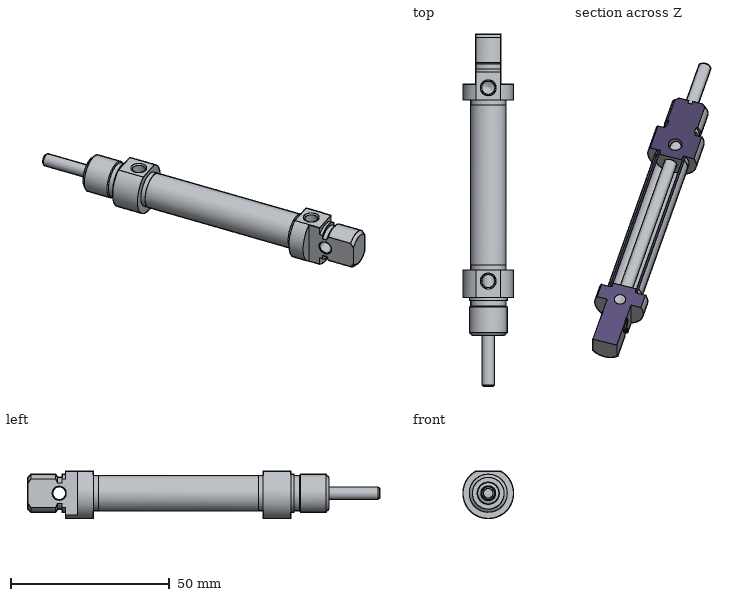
import cadquery as cq


ROD_DIAMETER = 4.0
ROD_TIP_DIAMETER = 3.0
ROD_REACH = 16.0

CAP_DIAMETER = 16.0
CAP_TOP_FLAT = 7.0
NECK_DIAMETER = 12.0
NECK_CHAMFER = 1.0
COLLAR_LENGTH = 1.0

FRONT_THREAD_END = 9.3
FRONT_FLANGE_START = 12.0
FRONT_FLANGE_END = 20.75
FRONT_UNDERCUT_DIAMETER = 11.2
FRONT_RUNOUT_LENGTH = 0.3
FRONT_PORT_Y = 17.2

WIPER_MOUTH_DIAMETER = 7.0
WIPER_SEAT_DIAMETER = 6.7
WIPER_LIP_DIAMETER = 4.7
WIPER_LIP_START = 0.5
WIPER_SEAT_DEPTH = 1.0

TUBE_DIAMETER = 11.27
TUBE_END_DIAMETER = 11.2
TUBE_BORE = 10.0
TUBE_END_LENGTH = 1.5
TUBE_END_Y = 74.25

REAR_FLANGE_END = 83.1
EYE_WIDTH = 8.0
EYE_FLAT_START = 79.25
EYE_END = 95.0
EYE_HOLE_DIAMETER = 4.0
EYE_HOLE_MOUTH_DIAMETER = 4.43
EYE_HOLE_Y = 85.05
REAR_UNDERCUT_DIAMETER = 10.2
REAR_UNDERCUT_START = REAR_FLANGE_END + COLLAR_LENGTH
REAR_UNDERCUT_END = 86.15
REAR_RUNOUT_LENGTH = 0.6
REAR_PORT_Y = 78.1

PORT_DIAMETER = 4.13
PORT_MOUTH_DIAMETER = 5.0
PORT_DRILL_DEPTH = 3.5
DRILL_TIP_LENGTH = 1.2

SPIGOT_LENGTH = TUBE_END_LENGTH


def revolved(profile):
    """Turn an outline of (diameter, y) points about the Y axis."""
    points = [(diameter / 2, y) for diameter, y in profile]
    return cq.Workplane("XY").polyline(points).close().revolve(360, (0, 0, 0), (0, 1, 0))


def cylinder(diameter, y_start, y_end):
    """Solid round bar along the Y axis."""
    return revolved([(0, y_start), (diameter, y_start), (diameter, y_end), (0, y_end)])


def flange(y_start, y_end):
    """Round flange with a flat on top for the air port."""
    length = y_end - y_start
    above_flat = cq.Workplane("XY").box(CAP_DIAMETER, length, CAP_DIAMETER, centered=(True, False, False))
    above_flat = above_flat.translate((0, y_start, CAP_TOP_FLAT))
    return cylinder(CAP_DIAMETER, y_start, y_end).cut(above_flat)


def port_cutter(y, depth, tip_length):
    """Vertical drill with a 45 degree countersink and a pointed end, cut down from the top flat."""
    radius = PORT_DIAMETER / 2
    mouth_radius = PORT_MOUTH_DIAMETER / 2
    bottom = CAP_TOP_FLAT - depth
    outline = [
        (0, CAP_TOP_FLAT),
        (mouth_radius, CAP_TOP_FLAT),
        (radius, CAP_TOP_FLAT - (mouth_radius - radius)),
        (radius, bottom),
        (0, bottom - tip_length),
    ]
    drill = cq.Workplane("XZ").polyline(outline).close().revolve(360, (0, 0, 0), (0, 1, 0))
    return drill.translate((0, y, 0))


def eye_hole_cutter():
    """Crosswise pin hole through the eye, with a 45 degree chamfer at each mouth."""
    radius = EYE_HOLE_DIAMETER / 2
    mouth_radius = EYE_HOLE_MOUTH_DIAMETER / 2
    face_x = EYE_WIDTH / 2
    chamfer_x = face_x - (mouth_radius - radius)
    outline = [
        (-face_x, 0),
        (-face_x, mouth_radius),
        (-chamfer_x, radius),
        (chamfer_x, radius),
        (face_x, mouth_radius),
        (face_x, 0),
    ]
    pin_hole = cq.Workplane("XY").polyline(outline).close().revolve(360, (0, 0, 0), (1, 0, 0))
    return pin_hole.translate((0, EYE_HOLE_Y, 0))


def make_rod():
    """Straight rod with a chamfered tip; it runs back to the spigot of the rear cap."""
    tip_length = (ROD_DIAMETER - ROD_TIP_DIAMETER) / 2
    return revolved([
        (0, -ROD_REACH),
        (ROD_TIP_DIAMETER, -ROD_REACH),
        (ROD_DIAMETER, -ROD_REACH + tip_length),
        (ROD_DIAMETER, TUBE_END_Y - SPIGOT_LENGTH),
        (0, TUBE_END_Y - SPIGOT_LENGTH),
    ])


def make_front_cap():
    """Cap with the rod bearing, a stepped nose with a wiper lip, and an air port down to the rod."""
    nose = revolved([
        (0, 0),
        (NECK_DIAMETER - 2 * NECK_CHAMFER, 0),
        (NECK_DIAMETER, NECK_CHAMFER),
        (NECK_DIAMETER, FRONT_THREAD_END - FRONT_RUNOUT_LENGTH),
        (FRONT_UNDERCUT_DIAMETER, FRONT_THREAD_END),
        (FRONT_UNDERCUT_DIAMETER, FRONT_FLANGE_START - COLLAR_LENGTH),
        (NECK_DIAMETER, FRONT_FLANGE_START - COLLAR_LENGTH),
        (NECK_DIAMETER, FRONT_FLANGE_START),
        (0, FRONT_FLANGE_START),
    ])
    spigot = cylinder(TUBE_BORE, FRONT_FLANGE_END, FRONT_FLANGE_END + SPIGOT_LENGTH)
    bore = cylinder(ROD_DIAMETER, 0, FRONT_FLANGE_END + SPIGOT_LENGTH)
    mouth_chamfer = (WIPER_MOUTH_DIAMETER - WIPER_SEAT_DIAMETER) / 2
    wiper_seat = revolved([
        (0, 0),
        (WIPER_MOUTH_DIAMETER, 0),
        (WIPER_SEAT_DIAMETER, mouth_chamfer),
        (WIPER_SEAT_DIAMETER, WIPER_SEAT_DEPTH),
        (WIPER_LIP_DIAMETER, WIPER_LIP_START),
        (ROD_DIAMETER, WIPER_SEAT_DEPTH),
        (0, WIPER_SEAT_DEPTH),
    ])
    body = nose.union(flange(FRONT_FLANGE_START, FRONT_FLANGE_END)).union(spigot)
    return body.cut(bore).cut(wiper_seat).cut(port_cutter(FRONT_PORT_Y, CAP_TOP_FLAT, 0))


def make_tube():
    """Hollow barrel between the cap flanges, slightly narrower at both ends."""
    return revolved([
        (TUBE_BORE, FRONT_FLANGE_END),
        (TUBE_END_DIAMETER, FRONT_FLANGE_END),
        (TUBE_END_DIAMETER, FRONT_FLANGE_END + TUBE_END_LENGTH),
        (TUBE_DIAMETER, FRONT_FLANGE_END + TUBE_END_LENGTH),
        (TUBE_DIAMETER, TUBE_END_Y - TUBE_END_LENGTH),
        (TUBE_END_DIAMETER, TUBE_END_Y - TUBE_END_LENGTH),
        (TUBE_END_DIAMETER, TUBE_END_Y),
        (TUBE_BORE, TUBE_END_Y),
    ])


def make_rear_cap():
    """Cap whose neck is flattened on both sides into a mounting eye, with a blind air port."""
    neck = revolved([
        (0, REAR_FLANGE_END),
        (NECK_DIAMETER, REAR_FLANGE_END),
        (NECK_DIAMETER, REAR_UNDERCUT_START),
        (REAR_UNDERCUT_DIAMETER, REAR_UNDERCUT_START),
        (REAR_UNDERCUT_DIAMETER, REAR_UNDERCUT_END - REAR_RUNOUT_LENGTH),
        (NECK_DIAMETER, REAR_UNDERCUT_END),
        (NECK_DIAMETER, EYE_END - NECK_CHAMFER),
        (NECK_DIAMETER - 2 * NECK_CHAMFER, EYE_END),
        (0, EYE_END),
    ])
    spigot = cylinder(TUBE_BORE, TUBE_END_Y - SPIGOT_LENGTH, TUBE_END_Y)
    body = neck.union(flange(TUBE_END_Y, REAR_FLANGE_END)).union(spigot)
    flat_length = EYE_END - EYE_FLAT_START
    side_block = cq.Workplane("XY").box(CAP_DIAMETER, flat_length, CAP_DIAMETER, centered=(True, False, True))
    for side in (-1, 1):
        block_x = side * (EYE_WIDTH + CAP_DIAMETER) / 2
        body = body.cut(side_block.translate((block_x, EYE_FLAT_START, 0)))
    return body.cut(eye_hole_cutter()).cut(port_cutter(REAR_PORT_Y, PORT_DRILL_DEPTH, DRILL_TIP_LENGTH))


rod = make_rod()
front_cap = make_front_cap()
tube = make_tube()
rear_cap = make_rear_cap()

result = cq.Compound.makeCompound([rod.val(), front_cap.val(), tube.val(), rear_cap.val()])